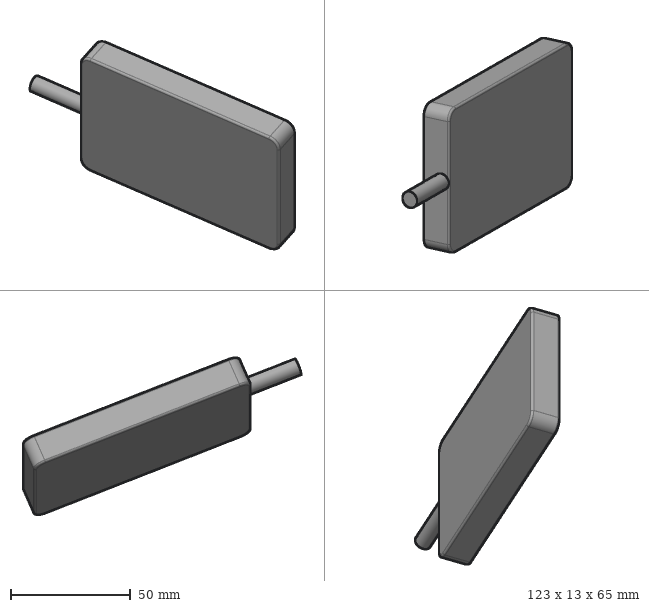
import cadquery as cq

total_length = 123.0
body_length = 98.0
body_depth = 13.0
body_height = 65.0
corner_radius = 5.0
edge_fillet = 1.0

cable_diameter = 7.3
cable_front_offset = 3.9
cable_length = total_length - body_length


def make_body():
    """Flat case with rounded corners and softened front and back rims."""
    block = cq.Workplane("XY").box(body_length, body_depth, body_height)
    return block.edges("|Y").fillet(corner_radius).faces("<Y or >Y").edges().fillet(edge_fillet)


def make_cable():
    """Round cable stub running toward -X at mid height, rooted inside the rounded rim."""
    root_x = edge_fillet - body_length / 2
    axis_y = cable_front_offset - body_depth / 2
    return (
        cq.Workplane("YZ", origin=(root_x, axis_y, 0))
        .circle(cable_diameter / 2)
        .extrude(-(cable_length + edge_fillet))
    )


result = make_body().union(make_cable())